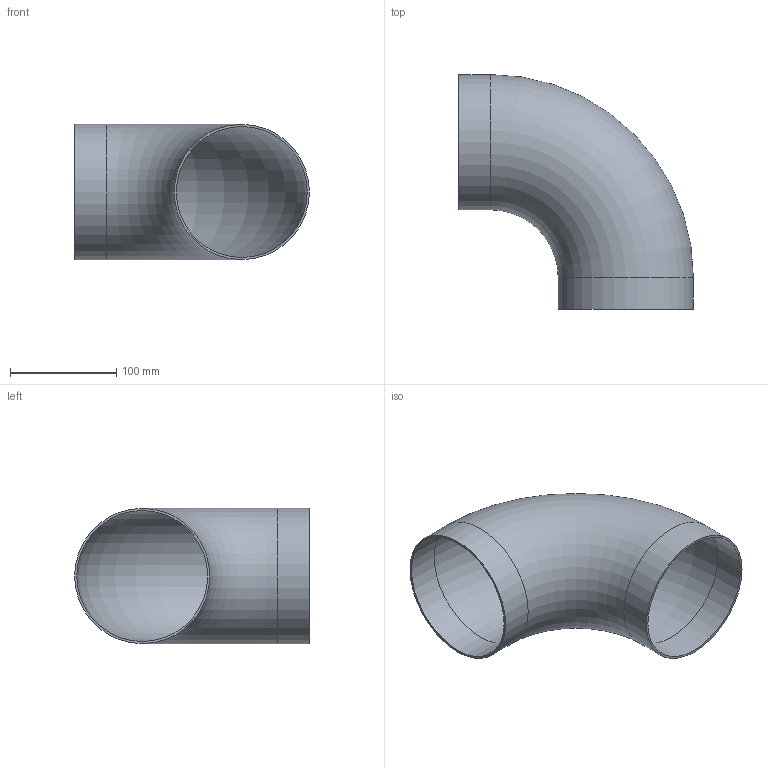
import cadquery as cq

outer_diameter = 127.0
inner_diameter = 123.0
bend_radius = 127.0
straight_length = 30.0
bend_angle = 90.0


def ring(plane, center_x):
    """Pipe cross-section, offset along the local X axis of the plane."""
    return (
        cq.Workplane(plane)
        .center(center_x, 0)
        .circle(outer_diameter / 2)
        .circle(inner_diameter / 2)
    )



bend = ring("XZ", bend_radius).revolve(bend_angle, (-bend_radius, 0, 0), (-bend_radius, 1, 0))

front_collar = ring("XZ", bend_radius).extrude(straight_length)

side_collar = ring("YZ", bend_radius).extrude(-straight_length)

result = bend.union(front_collar).union(side_collar)